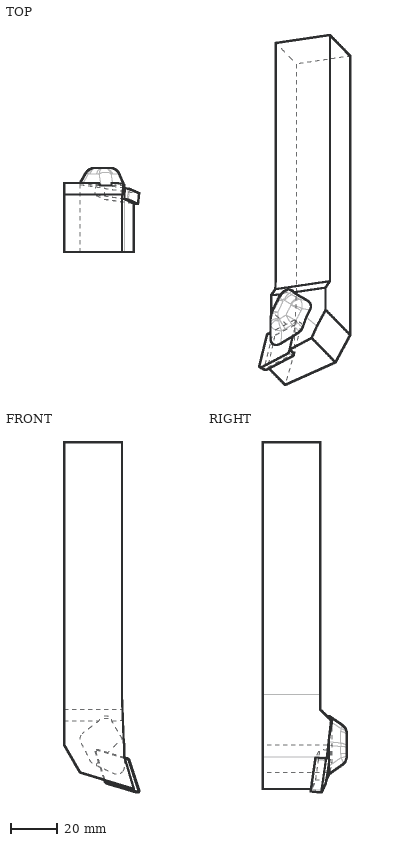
import cadquery as cq
import math

TOTAL_LENGTH = 151.4
SHANK_SIZE = 25.0
HEAD_DEPTH = 30.0
HEAD_STEP = HEAD_DEPTH - SHANK_SIZE

HEEL_TOP_Z = 20.5
HEEL_X = 6.8
HEEL_Z = 8.6
NOSE_X = 30.1
NOSE_Z = 1.5
FLANK_X = 26.0
FLANK_Z = 15.3
FLARE_TOP_Z = 42.4
HEAD_SHOULDER_Z = 30.9

NOSE_ANGLE = 55.0
INSERT_CIRCLE = 12.7
INSERT_SIDE = INSERT_CIRCLE / math.sin(math.radians(NOSE_ANGLE))
INSERT_THICKNESS = 4.7
INSERT_TIP_RADIUS = 0.8
INSERT_TIP = (32.8, 25.3, -0.5)
INSERT_EDGE_ANGLE = 16.5
SLOPE_X = 0.11
SLOPE_Z = 0.11

CLAMP_TOP_Y = 36.5
CLAMP_BASE_Y = 28.8
CLAMP_TAPER = 24.0
CLAMP_OUTLINE = [(5.1, 24.2), (19.2, 34.8), (26.0, 21.2), (26.0, 6.0), (11.4, 12.9)]
CLAMP_CORNER_RADIUS = 3.8
CLAMP_TOP_RADIUS = 4.5
CUTTER_SIZE = 6 * SHANK_SIZE

edge_angle = math.radians(INSERT_EDGE_ANGLE)
edge_x = -math.cos(edge_angle)
edge_z = math.sin(edge_angle)
SEAT = cq.Plane(
    origin=INSERT_TIP,
    xDir=(edge_x, -SLOPE_X * edge_x + SLOPE_Z * edge_z, edge_z),
    normal=(SLOPE_X, 1, -SLOPE_Z),
)


def from_front(y):
    """Plane at depth y whose local axes are X and Z; it extrudes toward -Y."""
    return cq.Workplane("XZ", origin=(0, y, 0))


def make_insert():
    angle = math.radians(NOSE_ANGLE)
    side_x = INSERT_SIDE * math.cos(angle)
    side_y = INSERT_SIDE * math.sin(angle)
    return (
        cq.Workplane(SEAT)
        .polyline([(0, 0), (INSERT_SIDE, 0), (INSERT_SIDE + side_x, side_y), (side_x, side_y)])
        .close()
        .extrude(-INSERT_THICKNESS)
        .edges(cq.selectors.ParallelDirSelector(SEAT.zDir))
        .fillet(INSERT_TIP_RADIUS)
    )


def make_shank_and_head():
    outline = [
        (0, TOTAL_LENGTH),
        (0, HEEL_TOP_Z),
        (HEEL_X, HEEL_Z),
        (NOSE_X, NOSE_Z),
        (FLANK_X, FLANK_Z),
        (SHANK_SIZE, FLARE_TOP_Z),
        (SHANK_SIZE, TOTAL_LENGTH),
    ]
    blank = from_front(HEAD_DEPTH).polyline(outline).close().extrude(HEAD_DEPTH)
    side_profile = [
        (0, 0),
        (HEAD_DEPTH, 0),
        (HEAD_DEPTH, HEAD_SHOULDER_Z),
        (SHANK_SIZE, HEAD_SHOULDER_Z + HEAD_STEP),
        (SHANK_SIZE, TOTAL_LENGTH),
        (0, TOTAL_LENGTH),
    ]
    body = blank.intersect(cq.Workplane("YZ").polyline(side_profile).close().extrude(CUTTER_SIZE))
    return body.cut(above_seat().intersect(head_zone()))


def above_seat():
    return cq.Workplane(SEAT).rect(CUTTER_SIZE, CUTTER_SIZE).extrude(CUTTER_SIZE)


def head_zone():
    """Block around the head, so that the seat plane does not trim the shank."""
    height = HEAD_SHOULDER_Z + HEAD_STEP
    return cq.Workplane().box(CUTTER_SIZE, CUTTER_SIZE, height, centered=(True, True, False))


def make_clamp():
    facing_back = cq.Workplane(cq.Plane((0, CLAMP_BASE_Y, 0), xDir=(-1, 0, 0), normal=(0, 1, 0)))
    hump = (
        facing_back.polyline([(-x, z) for x, z in CLAMP_OUTLINE])
        .close()
        .extrude(CLAMP_TOP_Y - CLAMP_BASE_Y, taper=CLAMP_TAPER)
    )
    side_edges = hump.edges("not #Y")
    return side_edges.fillet(CLAMP_CORNER_RADIUS).faces(">Y").edges().fillet(CLAMP_TOP_RADIUS)


insert = make_insert()
holder = make_shank_and_head().union(make_clamp()).cut(insert)

result = cq.Compound.makeCompound([holder.solids().val(), insert.solids().val()])